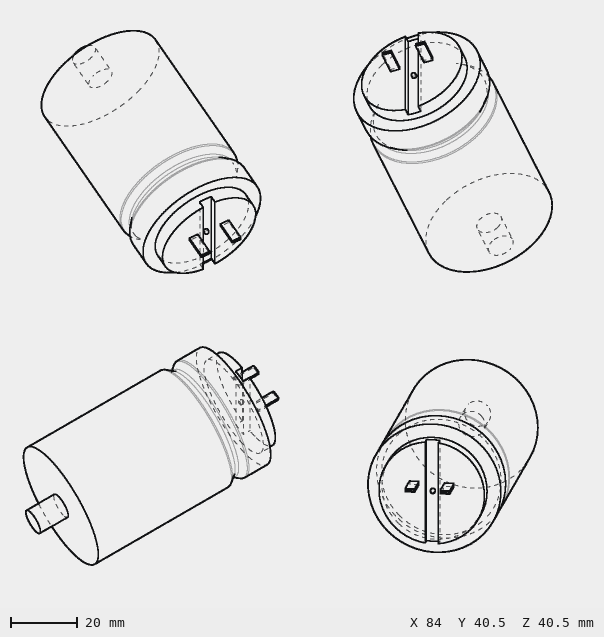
import cadquery as cq

total_length = 84.0
can_start = 10.0
can_end = 72.1
disc_end = 76.5

can_diameter = 40.5
stud_diameter = 8.0
disc_diameter = 32.1

groove_center = 61.0
groove_width = 6.3
groove_depth = 2.0
lip_run = 0.5
lip_drop = 0.2
floor_width = 1.3
floor_drop = 0.25

slot_width = 4.0
slot_depth = 2.3
pin_diameter = 1.4
pin_height = 1.35

terminal_width = 2.85
terminal_thickness = 1.0
terminal_spacing = 10.7
terminal_height = 2.85
terminal_chamfer = 0.25

can_radius = can_diameter / 2
floor_radius = can_radius - groove_depth


def x_cylinder(start, end, diameter):
    """Solid cylinder on the X axis."""
    return cq.Workplane("YZ").workplane(offset=start).circle(diameter / 2).extrude(end - start)


def make_can():
    """Cylindrical can with the bead groove, revolved about the X axis."""
    left_lip = groove_center - groove_width / 2
    right_lip = groove_center + groove_width / 2
    left_floor = groove_center - floor_width / 2
    right_floor = groove_center + floor_width / 2
    lip_radius = can_radius - lip_drop
    return (
        cq.Workplane("XY")
        .moveTo(can_start, 0)
        .lineTo(can_start, can_radius)
        .lineTo(left_lip, can_radius)
        .tangentArcPoint((left_lip + lip_run, lip_radius), relative=False)
        .lineTo(left_floor, floor_radius + floor_drop)
        .threePointArc((groove_center, floor_radius), (right_floor, floor_radius + floor_drop))
        .lineTo(right_lip - lip_run, lip_radius)
        .tangentArcPoint((right_lip, can_radius), relative=False)
        .lineTo(can_end, can_radius)
        .lineTo(can_end, 0)
        .close()
        .revolve(360, (0, 0, 0), (1, 0, 0))
    )


def make_disc():
    """Terminal disc with a slot running right across its face along Z."""
    slot_floor = disc_end - slot_depth
    slot = cq.Workplane("XY").box(slot_depth, slot_width, disc_diameter).translate(
        (slot_floor + slot_depth / 2, 0, 0)
    )
    dome_center = slot_floor + pin_height - pin_diameter / 2
    dome = cq.Workplane("XY").sphere(pin_diameter / 2).translate((dome_center, 0, 0))
    pin = x_cylinder(slot_floor, dome_center, pin_diameter).union(dome)
    return x_cylinder(can_end, disc_end, disc_diameter).cut(slot).union(pin)


def make_terminal(y_center):
    """Flat blade with a chamfered tip, standing on the disc face."""
    length = total_length - disc_end
    return (
        cq.Workplane("XY")
        .box(length, terminal_width, terminal_thickness)
        .faces(">X")
        .edges()
        .chamfer(terminal_chamfer)
        .translate((disc_end + length / 2, y_center, terminal_height))
    )


result = x_cylinder(0, can_start, stud_diameter).union(make_can()).union(make_disc())
for side in (-1, 1):
    result = result.union(make_terminal(side * terminal_spacing / 2))